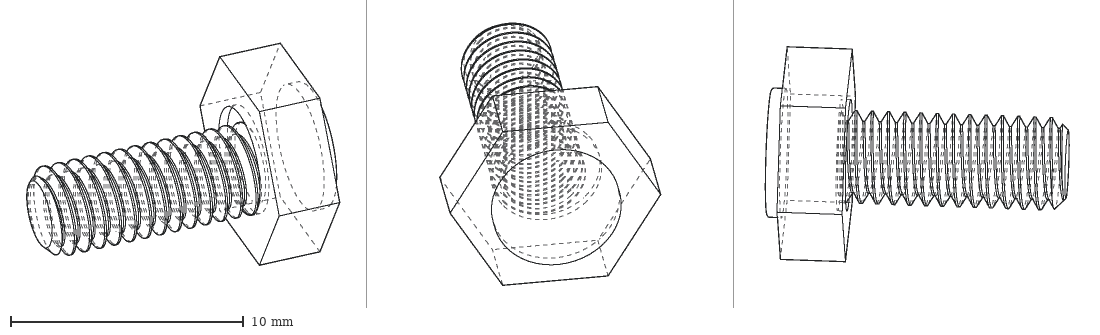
import cadquery as cq
import math

OVERALL_LENGTH = 12.8

HEX_FLATS = 7.94
HEX_CORNERS = HEX_FLATS / math.cos(math.radians(30))
HEX_THICKNESS = 2.8
BOSS_DIAMETER = 5.57
BOSS_HEIGHT = 0.63
BOSS_ROUND = 0.14
RECESS_DIAMETER = 4.79
RECESS_DEPTH = 0.4

STUD_X = 0.28
STUD_Z = -0.25
STUD_REACH = OVERALL_LENGTH - HEX_THICKNESS - BOSS_HEIGHT
THREAD_DIAMETER = 4.0
ROOT_DIAMETER = 3.1
THREAD_TURNS = 13
THREAD_TURNS_LENGTH = 9.1
PITCH = THREAD_TURNS_LENGTH / THREAD_TURNS
CREST_FLAT = PITCH / 8
ROOT_FLAT = PITCH / 8
TIP_DIAMETER = 2.95
ENVELOPE_CHAMFER = 0.77
BAR_SPARE = 3.84
CREST_TO_TIP = 0.86
SPARE_TURNS = 1
TURNS_PAST_LAST = 3
GROOVE_OVERLAP = 0.01


def make_housing():
    """Hexagonal block with a round boss behind and a blind recess in front."""
    front = cq.Workplane("XZ")
    block = front.polygon(6, HEX_CORNERS).extrude(-HEX_THICKNESS)
    boss = (
        front.workplane(offset=-HEX_THICKNESS)
        .circle(BOSS_DIAMETER / 2)
        .extrude(-BOSS_HEIGHT)
        .faces(">Y")
        .edges()
        .fillet(BOSS_ROUND)
    )
    recess = front.circle(RECESS_DIAMETER / 2).extrude(-RECESS_DEPTH)
    return block.union(boss).cut(recess)


def make_thread_groove(length):
    """Right-handed helical V groove along +Z that runs out past both ends of the stud."""
    outer_radius = THREAD_DIAMETER / 2 + GROOVE_OVERLAP
    root_radius = ROOT_DIAMETER / 2
    flank_slope = (PITCH - CREST_FLAT - ROOT_FLAT) / (THREAD_DIAMETER - ROOT_DIAMETER)
    root_half = ROOT_FLAT / 2
    outer_half = root_half + flank_slope * (outer_radius - root_radius)

    last_groove = length - CREST_TO_TIP + PITCH / 2
    turns_before = math.ceil(last_groove / PITCH) + SPARE_TURNS
    start = last_groove - turns_before * PITCH
    turns = turns_before + TURNS_PAST_LAST

    profile = cq.Workplane("XZ").polyline(
        [
            (root_radius, -root_half),
            (outer_radius, -outer_half),
            (outer_radius, outer_half),
            (root_radius, root_half),
        ]
    ).close()
    helix = cq.Wire.makeHelix(PITCH, turns * PITCH, root_radius)
    groove = profile.sweep(cq.Workplane(obj=helix), isFrenet=True)
    return groove.translate((0, 0, start))


def make_stud():
    """Threaded rod with a chamfered tip, standing on the floor of the recess.

    The thread is cut in a longer bar, which is then trimmed to the length and tip shape.
    """
    length = STUD_REACH + RECESS_DEPTH
    bar = (
        cq.Workplane("XY", origin=(0, 0, -BAR_SPARE))
        .circle(THREAD_DIAMETER / 2)
        .extrude(length + 2 * BAR_SPARE)
    )
    envelope = (
        cq.Workplane("XY")
        .circle(TIP_DIAMETER / 2 + ENVELOPE_CHAMFER)
        .extrude(length)
        .faces(">Z")
        .chamfer(ENVELOPE_CHAMFER)
    )
    threaded = bar.cut(make_thread_groove(length)).intersect(envelope)
    turned = threaded.rotate((0, 0, 0), (1, 0, 0), 90)
    return turned.translate((STUD_X, RECESS_DEPTH, STUD_Z))


housing = make_housing()
stud = make_stud()

result = cq.Compound.makeCompound([*housing.vals(), *stud.vals()])